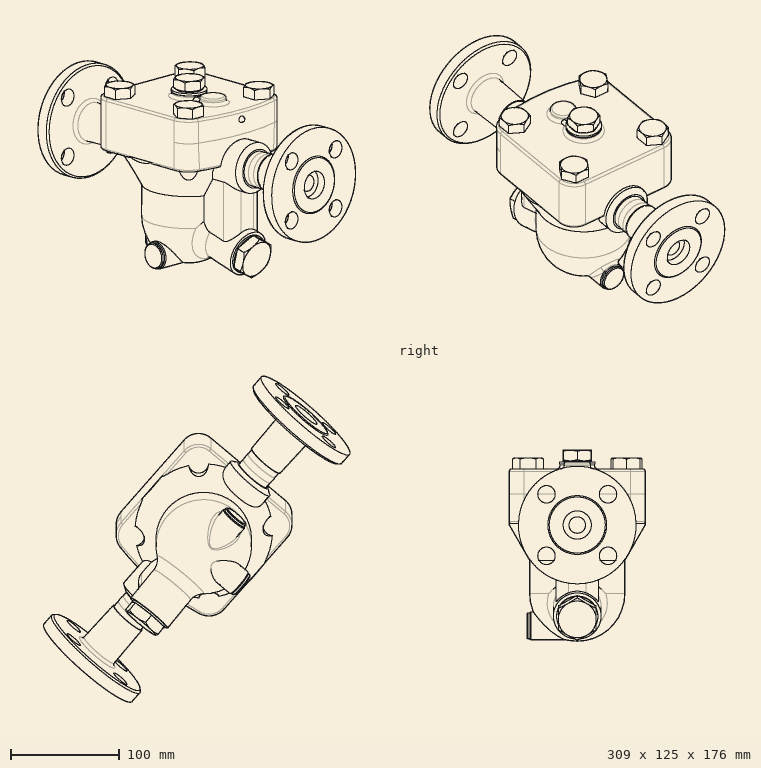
import cadquery as cq
import math

LENGTH = 309.0
BOWL_X = -10.0
SINK = 3.0

HALF_LENGTH = LENGTH / 2
FLANGE_D = 108.0
FLANGE_THICKNESS = 13.0
FLANGE_CHAMFER = 2.0
FACE_D = 51.5
FACE_ROOT_D = 54.0
FACE_HEIGHT = 1.0
BOLT_CIRCLE_D = 80.0
BOLT_HOLE_D = 16.0
BOLT_HOLES = 4
NECK_BIG_D = 36.8
NECK_SMALL_D = 35.0
NECK_FILLET = 3.0
NECK_END_X = 97.3
PIPE_D = 33.0
WELD_OUTER_X = 91.5
WELD_INNER_X = 84.7
WELD_RISE = 0.3
SOCKET_D = 48.0
SOCKET_END_D = 36.5
SOCKET_X = 75.5
SOCKET_END_X = 79.0
SOCKET_BORE_D = 26.0
SOCKET_BORE_DEPTH = 8.3
PIPE_BORE_D = 15.0

TOP_Z = 51.5
SEAM_Z = 28.7
UNDERSIDE_Z = 1.2
BLOCK_WIDTH = 125.0
HALF_WIDTH = BLOCK_WIDTH / 2
SCREW_PITCH = 90.5
SCREW_OFFSET = SCREW_PITCH / 2
CORNER_R = HALF_WIDTH - SCREW_OFFSET
BULGE_CORNER_R = 18.5
BULGE = 68.5
BODY_DRAFT = 2.0
EDGE_FILLET = 2.2
PIN_D = 6.2
PIN_Z = 43.3

SCREW_AF = 25.0
SCREW_HEIGHT = 10.2
PLUG_AF = 26.0
PLUG_Z = 59.0
PLUG_HEIGHT = 10.0
PLUG_NECK_D = 24.0
CAP_AF = 35.0
CAP_START = 81.5
CAP_HEIGHT = 10.2
HEX_CHAMFER_ANGLE = 30

PLUG_BOSS_D = 32.0
PLUG_BOSS_TOP_Z = 56.0
PLUG_WASHER_D = 33.0
PLUG_WASHER_TOP_Z = 58.0
PLUG_BOSS_FLARE = 2.95
SIDE_BOSS_D = 24.0
SIDE_BOSS_FACE_D = 21.0
SIDE_BOSS_OFFSET = 31.2
SIDE_BOSS_TOP_Z = 57.8
SIDE_BOSS_FLARE = 3.0
WEB_BASE_WIDTH = 19.8
WEB_TOP_WIDTH = 13.0
WEB_HEIGHT = 3.0

BOWL_R = 44.0
SPHERE_Z = -63.0
CONE_BOTTOM_Z = -32.5
CONE_TOP_Z = 3.0
CONE_TOP_R = 64.3
SCREW_RELIEF_R = 9.3

PASSAGE_REACH = 76.3
PASSAGE_WIDTH = 39.2
PASSAGE_CORNER_R = 11.5
STRAINER_D = 44.0
STRAINER_END = 79.7
STRAINER_ANGLE = 15
STRAINER_FILLET = 15.5
GASKET_D = 38.0

DRAIN_Z = -92.7
DRAIN_D = 26.0
DRAIN_END = 44.0
DRAIN_CHAMFER = 1.2
DRAIN_PLUG_D = 24.0
DRAIN_PLUG_END = 46.5
DRAIN_PLUG_CHAMFER = 1.0
DRAIN_FILLET = 3.7


def cylinder(diameter, bottom, top):
    """Vertical cylinder on the Z axis."""
    return cq.Workplane("XY").workplane(offset=bottom).circle(diameter / 2).extrude(top - bottom)


def lathe(profile):
    """Turn a closed (radius, height) outline about the Z axis."""
    return profile.close().revolve(360, (0, 0, 0), (0, 1, 0))


def along_x(solid):
    """Turn a solid built along +Z so that it runs along +X."""
    return solid.rotate((0, 0, 0), (0, 1, 0), 90)


def turned(solid, angle):
    """Turn a solid about the Z axis."""
    return solid.rotate((0, 0, 0), (0, 0, 1), angle)


def hex_head(across_flats, height, both_ends=False):
    """Hexagon head with corners on the X axis and its rim corners turned off."""
    across_corners = across_flats / math.cos(math.radians(30))
    corner_r = across_corners / 2
    drop = (corner_r - across_flats / 2) * math.tan(math.radians(HEX_CHAMFER_ANGLE))
    foot_r = across_flats / 2 if both_ends else corner_r
    envelope = lathe(
        cq.Workplane("XZ")
        .moveTo(0, 0)
        .lineTo(foot_r, 0)
        .lineTo(corner_r, drop)
        .lineTo(corner_r, height - drop)
        .lineTo(across_flats / 2, height)
        .lineTo(0, height)
    )
    return cq.Workplane("XY").polygon(6, across_corners).extrude(height).intersect(envelope)


def pipe_end():
    """Flange, tapered neck, welded pipe and body socket, running out along +X."""
    flange_front = HALF_LENGTH - FACE_HEIGHT
    flange_back = flange_front - FLANGE_THICKNESS
    neck_top = flange_back - NECK_FILLET
    weld_mid = (WELD_OUTER_X + WELD_INNER_X) / 2
    end = lathe(
        cq.Workplane("XZ")
        .moveTo(0, 0)
        .lineTo(SOCKET_D / 2, 0)
        .lineTo(SOCKET_D / 2, SOCKET_X)
        .lineTo(SOCKET_END_D / 2, SOCKET_END_X)
        .lineTo(PIPE_D / 2, SOCKET_END_X)
        .lineTo(PIPE_D / 2, WELD_INNER_X)
        .threePointArc((PIPE_D / 2 + WELD_RISE, weld_mid), (PIPE_D / 2, WELD_OUTER_X))
        .lineTo(PIPE_D / 2, NECK_END_X)
        .lineTo(NECK_SMALL_D / 2, NECK_END_X)
        .lineTo(NECK_BIG_D / 2, neck_top)
        .radiusArc((NECK_BIG_D / 2 + NECK_FILLET, flange_back), NECK_FILLET)
        .lineTo(FLANGE_D / 2 - FLANGE_CHAMFER, flange_back)
        .lineTo(FLANGE_D / 2, flange_back + FLANGE_CHAMFER)
        .lineTo(FLANGE_D / 2, flange_front)
        .lineTo(FACE_ROOT_D / 2, flange_front)
        .lineTo(FACE_D / 2, HALF_LENGTH)
        .lineTo(0, HALF_LENGTH)
    )
    bolt_holes = (
        cq.Workplane("XY")
        .workplane(offset=flange_back - SINK)
        .polarArray(BOLT_CIRCLE_D / 2, 180 / BOLT_HOLES, 360, BOLT_HOLES)
        .circle(BOLT_HOLE_D / 2)
        .extrude(FLANGE_THICKNESS + 2 * SINK)
    )
    return along_x(end.cut(bolt_holes))


def pipe_bore():
    """Stepped bore entering the pipe from the flange face, running out along +X."""
    socket = cylinder(SOCKET_BORE_D, HALF_LENGTH - SOCKET_BORE_DEPTH, HALF_LENGTH)
    pipe = cylinder(PIPE_BORE_D, SOCKET_END_X, HALF_LENGTH)
    return along_x(socket.union(pipe))


def block_outline(base, bulge):
    """Add a closed outline with three flat sides, a bulged +X side and rounded corners to base.

    The bulge is one arc about a point on the X axis, tangent to the corner arcs it joins.
    """
    corner = HALF_WIDTH - BULGE_CORNER_R
    reach = bulge - BULGE_CORNER_R
    centre_x = (reach ** 2 - 2 * corner ** 2) / (2 * (reach - corner))
    bulge_r = bulge - centre_x
    tangent_angle = math.atan2(corner, corner - centre_x)
    tangent_x = centre_x + bulge_r * math.cos(tangent_angle)
    tangent_y = bulge_r * math.sin(tangent_angle)
    return (
        base
        .moveTo(-SCREW_OFFSET, -HALF_WIDTH)
        .lineTo(corner, -HALF_WIDTH)
        .radiusArc((tangent_x, -tangent_y), -BULGE_CORNER_R)
        .radiusArc((tangent_x, tangent_y), -bulge_r)
        .radiusArc((corner, HALF_WIDTH), -BULGE_CORNER_R)
        .lineTo(-SCREW_OFFSET, HALF_WIDTH)
        .radiusArc((-HALF_WIDTH, SCREW_OFFSET), -CORNER_R)
        .lineTo(-HALF_WIDTH, -SCREW_OFFSET)
        .radiusArc((-SCREW_OFFSET, -HALF_WIDTH), -CORNER_R)
        .close()
    )


def cover_and_upper_body():
    """Cover plate on the upper body, whose bulged side leans inward going down."""
    cover = block_outline(cq.Workplane("XY").workplane(offset=SEAM_Z), BULGE).extrude(TOP_Z - SEAM_Z)
    cover = cover.faces(">Z").edges().fillet(EDGE_FILLET)
    underside = block_outline(cq.Workplane("XY").workplane(offset=UNDERSIDE_Z), BULGE - BODY_DRAFT)
    upper_body = block_outline(underside.workplane(offset=SEAM_Z - UNDERSIDE_Z), BULGE).loft(ruled=True)
    upper_body = upper_body.faces("<Z").edges().fillet(EDGE_FILLET)
    pin = cq.Workplane("XY").sphere(PIN_D / 2).translate((BULGE, 0, PIN_Z))
    return cover.union(upper_body).union(pin)


def cover_screws():
    """Four hexagon heads, each turned a right angle from its neighbours."""
    head = hex_head(SCREW_AF, SCREW_HEIGHT + SINK).translate((0, 0, TOP_Z - SINK))
    screws = []
    for side_x in (-1, 1):
        for side_y in (-1, 1):
            angle = 0 if side_x == side_y else 90
            screws.append(turned(head, angle).translate((side_x * SCREW_OFFSET, side_y * SCREW_OFFSET, 0)))
    return screws


def plug_boss():
    """Central boss with a washer and the hexagon plug standing on it."""
    boss = lathe(
        cq.Workplane("XZ")
        .moveTo(0, TOP_Z - SINK)
        .lineTo(PLUG_BOSS_D / 2 + PLUG_BOSS_FLARE, TOP_Z - SINK)
        .lineTo(PLUG_BOSS_D / 2 + PLUG_BOSS_FLARE, TOP_Z)
        .radiusArc((PLUG_BOSS_D / 2, TOP_Z + PLUG_BOSS_FLARE), PLUG_BOSS_FLARE)
        .lineTo(PLUG_BOSS_D / 2, PLUG_BOSS_TOP_Z)
        .lineTo(PLUG_WASHER_D / 2, PLUG_BOSS_TOP_Z)
        .lineTo(PLUG_WASHER_D / 2, PLUG_WASHER_TOP_Z)
        .lineTo(PLUG_NECK_D / 2, PLUG_WASHER_TOP_Z)
        .lineTo(PLUG_NECK_D / 2, PLUG_Z)
        .lineTo(0, PLUG_Z)
    )
    return boss.union(hex_head(PLUG_AF, PLUG_HEIGHT, both_ends=True).translate((0, 0, PLUG_Z)))


def side_boss():
    """Smaller round boss beside the plug, joined to it by a sloped web."""
    rim = (SIDE_BOSS_D - SIDE_BOSS_FACE_D) / 2
    boss = lathe(
        cq.Workplane("XZ")
        .moveTo(0, TOP_Z - SINK)
        .lineTo(SIDE_BOSS_D / 2 + SIDE_BOSS_FLARE, TOP_Z - SINK)
        .lineTo(SIDE_BOSS_D / 2 + SIDE_BOSS_FLARE, TOP_Z)
        .radiusArc((SIDE_BOSS_D / 2, TOP_Z + SIDE_BOSS_FLARE), SIDE_BOSS_FLARE)
        .lineTo(SIDE_BOSS_D / 2, SIDE_BOSS_TOP_Z - rim)
        .radiusArc((SIDE_BOSS_FACE_D / 2, SIDE_BOSS_TOP_Z), -rim)
        .lineTo(0, SIDE_BOSS_TOP_Z)
    )
    web = (
        cq.Workplane("YZ")
        .moveTo(-WEB_BASE_WIDTH / 2, TOP_Z)
        .lineTo(WEB_BASE_WIDTH / 2, TOP_Z)
        .lineTo(WEB_TOP_WIDTH / 2, TOP_Z + WEB_HEIGHT)
        .lineTo(-WEB_TOP_WIDTH / 2, TOP_Z + WEB_HEIGHT)
        .close()
        .extrude(SIDE_BOSS_OFFSET)
    )
    return boss.translate((SIDE_BOSS_OFFSET, 0, 0)).union(web)


def drain_boss():
    """Drain boss along +X from the bowl axis."""
    boss = cylinder(DRAIN_D, 0, DRAIN_END)
    return along_x(boss.faces(">Z").chamfer(DRAIN_CHAMFER)).translate((0, 0, DRAIN_Z))


def drain_plug():
    """Round plug closing a drain boss, along +X from the bowl axis."""
    plug = cylinder(DRAIN_PLUG_D, DRAIN_END - SINK, DRAIN_PLUG_END)
    return along_x(plug.faces(">Z").chamfer(DRAIN_PLUG_CHAMFER)).translate((0, 0, DRAIN_Z))


def bowl():
    """Round-bottomed bowl flaring out to the upper body."""
    shell = lathe(
        cq.Workplane("XZ")
        .moveTo(0, SPHERE_Z - BOWL_R)
        .radiusArc((BOWL_R, SPHERE_Z), -BOWL_R)
        .lineTo(BOWL_R, CONE_BOTTOM_Z)
        .lineTo(CONE_TOP_R, CONE_TOP_Z)
        .lineTo(0, CONE_TOP_Z)
    )
    trim_base = cq.Workplane("XY").workplane(offset=SPHERE_Z - BOWL_R)
    trim = block_outline(trim_base, BULGE - BODY_DRAFT).extrude(CONE_TOP_Z - SPHERE_Z + BOWL_R)
    return shell.intersect(trim)


def bowl_with_drains():
    """Bowl with drain bosses toward -X (blended in) and -Y (plain)."""
    toward_minus_x = 180
    toward_minus_y = -90
    body = bowl().union(turned(drain_boss(), toward_minus_x))
    root = cq.selectors.BoxSelector(
        (-DRAIN_END + 2 * DRAIN_CHAMFER, -DRAIN_D, DRAIN_Z - DRAIN_D),
        (-SINK, DRAIN_D, DRAIN_Z + DRAIN_D),
    )
    body = body.edges(root).edges("not(%LINE)").fillet(DRAIN_FILLET)
    body = body.union(turned(drain_boss(), toward_minus_y))
    for direction in (toward_minus_x, toward_minus_y):
        body = body.union(turned(drain_plug(), direction))
    return body


def strainer():
    """Slanted branch from the bowl centre, blended into the sphere, with a hexagon cap."""
    radius = STRAINER_D / 2
    centre_reach = BOWL_R + STRAINER_FILLET
    fillet_end = math.sqrt(centre_reach ** 2 - (radius + STRAINER_FILLET) ** 2)
    touch = BOWL_R / centre_reach
    branch = lathe(
        cq.Workplane("XZ")
        .lineTo((radius + STRAINER_FILLET) * touch, 0)
        .lineTo((radius + STRAINER_FILLET) * touch, fillet_end * touch)
        .radiusArc((radius, fillet_end), STRAINER_FILLET)
        .lineTo(radius, STRAINER_END)
        .lineTo(0, STRAINER_END)
    )
    gasket = cylinder(GASKET_D, STRAINER_END, CAP_START)
    cap = hex_head(CAP_AF, CAP_HEIGHT).translate((0, 0, CAP_START))
    branch = branch.union(gasket).union(cap)
    return branch.rotate((0, 0, 0), (0, 1, 0), 90 + STRAINER_ANGLE).translate((0, 0, SPHERE_Z))


def passage():
    """Outlet passage rising from the strainer branch to the outlet socket."""
    drop = PASSAGE_REACH * math.tan(math.radians(STRAINER_ANGLE))
    return (
        cq.Workplane("XY")
        .workplane(offset=SPHERE_Z - drop)
        .center(PASSAGE_REACH / 2, 0)
        .rect(PASSAGE_REACH, PASSAGE_WIDTH)
        .extrude(drop - SPHERE_Z)
        .edges(">X and |Z")
        .fillet(PASSAGE_CORNER_R)
    )


def screw_reliefs():
    """Round reliefs below the upper body, in line with the cover screws."""
    return (
        cq.Workplane("XY")
        .workplane(offset=CONE_BOTTOM_Z)
        .rect(SCREW_PITCH, SCREW_PITCH, forConstruction=True)
        .vertices()
        .circle(SCREW_RELIEF_R)
        .extrude(UNDERSIDE_Z - CONE_BOTTOM_Z)
    )


body = bowl_with_drains().cut(screw_reliefs())
features = [cover_and_upper_body(), plug_boss(), side_boss(), passage(), strainer()]
for feature in features + cover_screws():
    body = body.union(feature)
body = body.translate((BOWL_X, 0, 0))

end_angles = (0, 180)
for angle in end_angles:
    body = body.union(turned(pipe_end(), angle))
for angle in end_angles:
    body = body.cut(turned(pipe_bore(), angle))

result = body